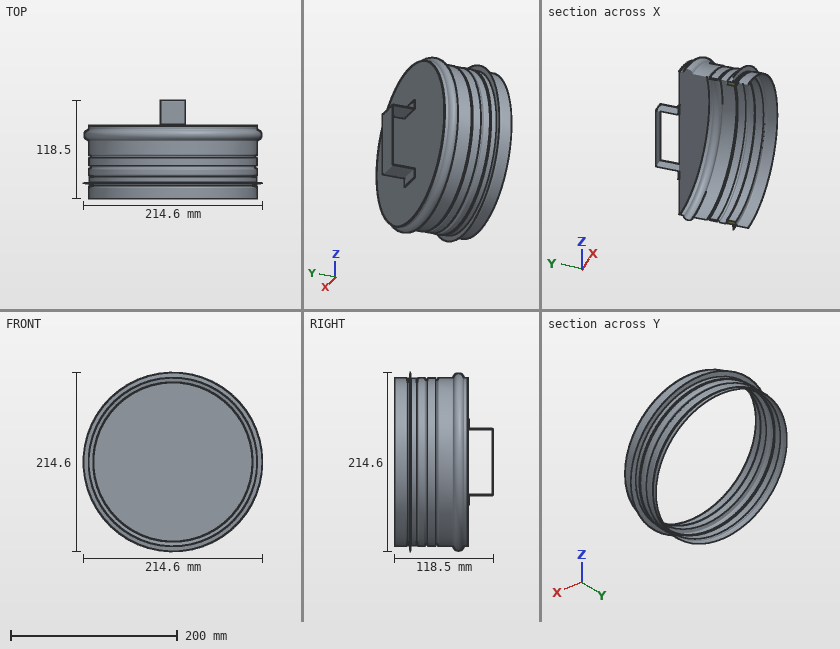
import cadquery as cq
import math


shell_radius = 202.4 / 2
sheet = 0.5
shell_length = 87.3

bead_tip_radius = 106.7
bead_arc_radius = 6.5
bead_y = 76.6
bead_foot_radius = 1.3

crest_bend_radius = 2.0
floor_bend_radius = 1.0
seal_groove_start = 13.0
seal_groove_end = 29.6
seal_groove_radius = 95.5
seal_groove_wall_angle = 80
strap_groove_start = 35.0
strap_groove_end = 53.6
strap_groove_radius = 197.0 / 2
strap_groove_wall_angle = 75

seal_radius = 200.9 / 2
seal_start = 15.9
seal_end = 26.5
lip_tip_radius = 107.3
lip_y = 18.9
lip_root_thickness = 1.7
lip_tip_thickness = 0.2

strap_radius = 201.5 / 2
strap_start = 39.5
strap_end = 49.5
strap_edge_radius = 1.0

plate_radius = shell_radius - sheet
plate_inner_y = 87.0
plate_outer_y = 88.5

handle_width = 30.0
handle_span = 80.3
handle_foot_span = 102.1
handle_thickness = 1.3
handle_bend_radius = 2.0
handle_outer_y = 118.5


def polar_point(centre, radius, angle):
    turn = math.radians(angle)
    return centre[0] + radius * math.cos(turn), centre[1] + radius * math.sin(turn)


def revolve_about_y(profile):
    return profile.close().revolve(360, (0, 0, 0), (0, 1, 0))


def add_arc(profile, centre, radius, start_angle, end_angle):
    """Add an arc that starts where the profile ends. Angles are in degrees from the radial direction."""
    middle_angle = (start_angle + end_angle) / 2
    return profile.threePointArc(
        polar_point(centre, radius, middle_angle), polar_point(centre, radius, end_angle)
    )


def add_bend(profile, centre, radius, start_angle, end_angle):
    """Add a straight stretch up to the start of an arc, then the arc."""
    profile = profile.lineTo(*polar_point(centre, radius, start_angle))
    return add_arc(profile, centre, radius, start_angle, end_angle)


def groove_side_length(floor_radius, wall_angle):
    """Axial length from the start of the crest bend to the end of the floor bend."""
    turn = math.radians(wall_angle)
    bends = crest_bend_radius + floor_bend_radius
    wall_depth = shell_radius - floor_radius - bends * (1 - math.cos(turn))
    return bends * math.sin(turn) + wall_depth / math.tan(turn)


def add_groove(profile, start, end, floor_radius, wall_angle, inset):
    side = groove_side_length(floor_radius, wall_angle)
    crest_x = shell_radius - crest_bend_radius
    floor_x = floor_radius + floor_bend_radius
    crest_bend = crest_bend_radius - inset
    floor_bend = floor_bend_radius + inset
    profile = add_bend(profile, (crest_x, start), crest_bend, 0, wall_angle)
    profile = add_bend(profile, (floor_x, start + side), floor_bend, 180 + wall_angle, 180)
    profile = add_bend(profile, (floor_x, end - side), floor_bend, 180, 180 - wall_angle)
    return add_bend(profile, (crest_x, end), crest_bend, -wall_angle, 0)


def add_bead(profile, inset):
    bead_x = bead_tip_radius - bead_arc_radius
    foot_x = shell_radius + bead_foot_radius
    reach = bead_arc_radius + bead_foot_radius
    foot_angle = math.degrees(math.acos((foot_x - bead_x) / reach))
    foot_offset = reach * math.sin(math.radians(foot_angle))
    foot = bead_foot_radius + inset
    profile = add_bend(profile, (foot_x, bead_y - foot_offset), foot, 180, 180 - foot_angle)
    profile = add_arc(profile, (bead_x, bead_y), bead_arc_radius - inset, -foot_angle, foot_angle)
    return add_arc(profile, (foot_x, bead_y + foot_offset), foot, 180 + foot_angle, 180)


def shell_form(inset):
    """Solid bounded by the shell's outer surface moved inward by inset."""
    profile = cq.Workplane("XY").lineTo(shell_radius - inset, 0)
    profile = add_groove(
        profile, seal_groove_start, seal_groove_end, seal_groove_radius, seal_groove_wall_angle, inset
    )
    profile = add_groove(
        profile, strap_groove_start, strap_groove_end, strap_groove_radius, strap_groove_wall_angle, inset
    )
    profile = add_bead(profile, inset)
    profile = profile.lineTo(shell_radius - inset, shell_length).lineTo(0, shell_length)
    return revolve_about_y(profile)


def make_shell():
    return shell_form(0).cut(shell_form(sheet))


def make_seal():
    half_root = lip_root_thickness / 2
    half_tip = lip_tip_thickness / 2
    profile = (
        cq.Workplane("XY")
        .moveTo(seal_groove_radius, seal_start)
        .lineTo(seal_radius, seal_start)
        .lineTo(seal_radius, lip_y - half_root)
        .lineTo(lip_tip_radius, lip_y - half_tip)
        .lineTo(lip_tip_radius, lip_y + half_tip)
        .lineTo(seal_radius, lip_y + half_root)
        .lineTo(seal_radius, seal_end)
        .lineTo(seal_groove_radius, seal_end)
    )
    return revolve_about_y(profile).cut(shell_form(0))


def disc(radius, start, end):
    return cq.Workplane("XZ", origin=(0, start, 0)).circle(radius).extrude(start - end)


def make_strap():
    band = disc(strap_radius, strap_start, strap_end).edges().fillet(strap_edge_radius)
    return band.cut(disc(strap_groove_radius, strap_start, strap_end))


def make_plate():
    return disc(plate_radius, plate_inner_y, plate_outer_y)


def make_handle():
    outer_z = handle_span / 2
    inner_z = outer_z - handle_thickness
    foot_z = handle_foot_span / 2
    inner_y = handle_outer_y - handle_thickness
    foot_y = plate_outer_y + handle_thickness
    upper_half = [
        (inner_y, inner_z),
        (plate_outer_y, inner_z),
        (plate_outer_y, foot_z),
        (foot_y, foot_z),
        (foot_y, outer_z),
        (handle_outer_y, outer_z),
    ]
    lower_half = [(y, -z) for y, z in reversed(upper_half)]
    outline = cq.Workplane("YZ").polyline(upper_half + lower_half).close()
    strip = outline.extrude(handle_width / 2, both=True)

    inner_bend_radius = handle_bend_radius - handle_thickness
    bends = [
        (handle_outer_y, outer_z, handle_bend_radius),
        (inner_y, inner_z, inner_bend_radius),
        (foot_y, outer_z, inner_bend_radius),
        (plate_outer_y, inner_z, handle_bend_radius),
    ]
    for y, z, radius in bends:
        for side in (1, -1):
            strip = strip.edges(cq.NearestToPointSelector((0, y, side * z))).fillet(radius)
    return strip


shell = make_shell()
seal = make_seal()
strap = make_strap()
plate = make_plate()
handle = make_handle()

result = cq.Compound.makeCompound([shell.val(), seal.val(), strap.val(), plate.val(), handle.val()])